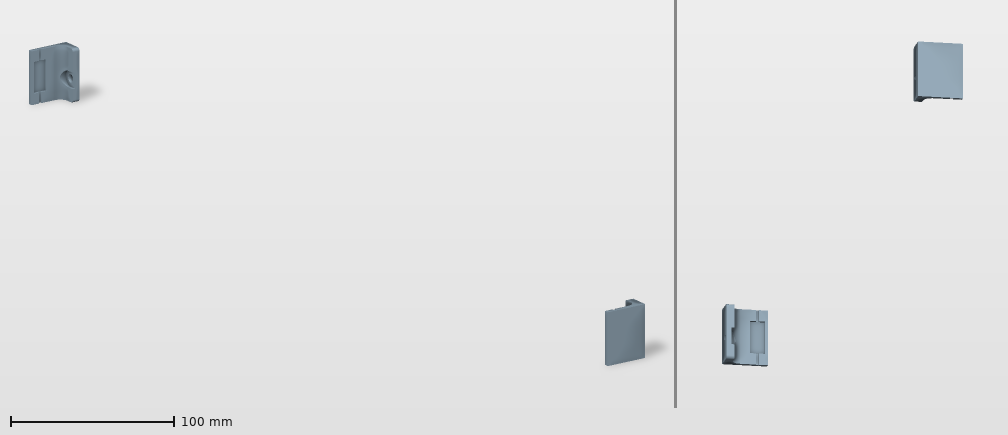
import cadquery as cq

span = 621.0
depth = 28.0
height = 35.0

flange_length = 14.0
flange_thickness = 5.0
plate_thickness = 3.0
inner_radius = 5.5
end_radius = 2.0

screw_x = 9.5
screw_z = -3.0
hole_diameter = 3.2
sink_diameter = 5.3
seat_width = 10.5
seat_depth = 2.0

recess_front = 2.0
recess_back = 11.0
recess_height = 20.5
groove_front = 5.5
groove_back = 7.5
recess_depth = 2.0
groove_depth = 1.0

flange_front = depth - flange_thickness
half_height = height / 2


def l_profile():
    """Extruded L with a filleted inner corner and rounded flange end edges."""
    body = (
        cq.Workplane("XY")
        .workplane(offset=-half_height)
        .polyline([
            (0, 0),
            (plate_thickness, 0),
            (plate_thickness, flange_front),
            (flange_length, flange_front),
            (flange_length, depth),
            (0, depth),
        ])
        .close()
        .extrude(height)
    )
    inner_corner = cq.selectors.NearestToPointSelector((plate_thickness, flange_front, 0))
    body = body.edges(inner_corner).fillet(inner_radius)
    return body.faces(">X").edges("|Y").fillet(end_radius)


def screw_seat():
    """Slot-shaped seat, rounded toward the plate and open at the flange end."""
    seat_back = flange_front + seat_depth
    radius = seat_width / 2
    round_end = cq.Workplane("XZ").center(screw_x, screw_z).circle(radius).extrude(-seat_back)
    open_end = cq.Workplane("XY").box(
        flange_length, seat_back, seat_width, centered=(False, False, True)
    ).translate((screw_x, 0, screw_z))
    return round_end.union(open_end)


def screw_hole():
    """Through hole along Y, with a 90-degree countersink from the floor of the seat."""
    seat_floor = cq.Workplane("XZ", origin=(screw_x, flange_front + seat_depth, screw_z))
    bore = seat_floor.circle(hole_diameter / 2).extrude(-flange_thickness)
    sink_depth = (sink_diameter - hole_diameter) / 2
    sink = (
        seat_floor.circle(sink_diameter / 2)
        .workplane(offset=-sink_depth)
        .circle(hole_diameter / 2)
        .loft()
    )
    return bore.union(sink)


def plate_cut(front, back, cut_height, cut_depth):
    """Shallow rectangular cut into the inner face of the plate."""
    return cq.Workplane("XY").box(
        cut_depth, back - front, cut_height, centered=(False, False, True)
    ).translate((plate_thickness - cut_depth, front, 0))


def bracket():
    """Left bracket, with its outer face on X = 0."""
    return (
        l_profile()
        .cut(screw_seat())
        .cut(screw_hole())
        .cut(plate_cut(recess_front, recess_back, recess_height, recess_depth))
        .cut(plate_cut(groove_front, groove_back, height, groove_depth))
    )


left_bracket = bracket()
right_bracket = bracket().mirror("YZ", (span / 2, 0, 0))

result = cq.Compound.makeCompound([left_bracket.val(), right_bracket.val()])